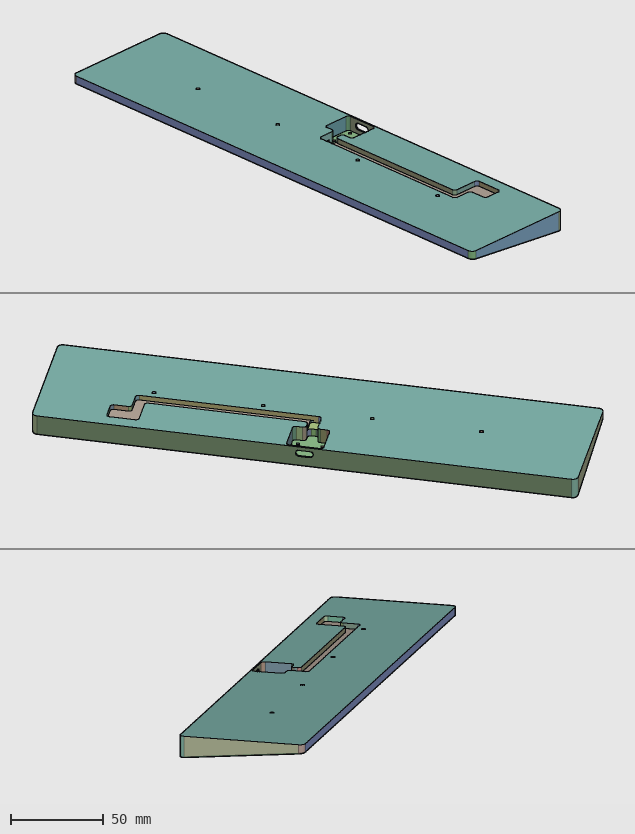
import cadquery as cq
import math

length = 300.0
width = 70.0
height = 12.3
slope_angle = 6.0
corner_radius = 3.0
rim_fillet = 0.5

back_y = width / 2
front_y = -width / 2
slope = math.radians(slope_angle)
lift = rim_fillet * (1 / math.cos(slope) + math.tan(slope) - 1)
sharp_height = height + lift
front_height = sharp_height - width * math.tan(slope)

back_wall = 1.0
board_half_width = 10.2
board_front_y = 16.0
board_depth = 8.7
inner_radius = 1.8

channel_width = 6.3
channel_front_y = 4.2
channel_back_y = channel_front_y + channel_width
channel_depth = 3.0
channel_half = channel_width / 2
link_depth = 4.2

connector_left_x = 92.7
connector_right_x = 110.5
connector_back_y = 27.5
connector_front_y = board_front_y

plug_width = 9.5
plug_height = 4.0
plug_center_z = -4.2

board_hole_diameter = 1.75
board_hole_depth = 1.5
board_hole_spacing = 13.5
board_hole_rows = (19.5, 31.8)
top_hole_diameter = 2.05
top_hole_depth = 3.0
top_hole_spacing = 60.0
top_hole_count = 4


def wedge():
    profile = [(front_y, 0), (back_y, 0), (back_y, -sharp_height), (front_y, -front_height)]
    body = cq.Workplane("YZ").polyline(profile).close().extrude(length / 2, both=True)
    body = body.edges("|Z").fillet(corner_radius)
    return body.faces("<Z").edges().fillet(rim_fillet)


def pocket(points, depth):
    """Vertical-walled cutter with rounded corners, from the top face down to the depth."""
    outline = cq.Workplane("XY").polyline(points).close()
    return outline.extrude(-depth).edges("|Z").fillet(inner_radius)


def board_pocket():
    half_outline = [
        (channel_half, channel_back_y),
        (channel_half, board_front_y),
        (board_half_width, board_front_y),
        (board_half_width, back_y - back_wall),
    ]
    mirrored = [(-x, y) for x, y in reversed(half_outline)]
    return pocket(half_outline + mirrored, board_depth)


def link_pocket():
    """Step of medium depth that links the board pocket to the start of the channel."""
    points = [
        (-channel_half, channel_front_y),
        (channel_half, channel_front_y),
        (channel_half, board_front_y),
        (-channel_half, board_front_y),
    ]
    return pocket(points, link_depth)


def cable_channel():
    """Channel with an arm up into each pocket; the left arm ends inside the board pocket."""
    link_end_y = board_front_y + 2 * inner_radius
    riser_right_x = connector_left_x + channel_width
    points = [
        (-channel_half, channel_front_y),
        (riser_right_x, channel_front_y),
        (riser_right_x, connector_front_y),
        (connector_right_x, connector_front_y),
        (connector_right_x, connector_back_y),
        (connector_left_x, connector_back_y),
        (connector_left_x, channel_back_y),
        (channel_half, channel_back_y),
        (channel_half, link_end_y),
        (-channel_half, link_end_y),
    ]
    return pocket(points, channel_depth)


def plug_opening():
    slot = cq.Workplane("XZ", origin=(0, back_y, plug_center_z)).slot2D(plug_width, plug_height)
    return slot.extrude(2 * back_wall, both=True)


def round_holes(centers, diameter, top_z, depth):
    plane = cq.Workplane("XY").workplane(offset=top_z)
    return plane.pushPoints(centers).circle(diameter / 2).extrude(-depth)


def board_holes():
    offset = board_hole_spacing / 2
    centers = [(x, y) for x in (-offset, offset) for y in board_hole_rows]
    return round_holes(centers, board_hole_diameter, -board_depth, board_hole_depth)


def top_holes():
    first_x = -top_hole_spacing * (top_hole_count - 1) / 2
    centers = [(first_x + i * top_hole_spacing, 0) for i in range(top_hole_count)]
    return round_holes(centers, top_hole_diameter, 0, top_hole_depth)


result = wedge()
for cutter in (
    board_pocket(),
    link_pocket(),
    cable_channel(),
    plug_opening(),
    board_holes(),
    top_holes(),
):
    result = result.cut(cutter)